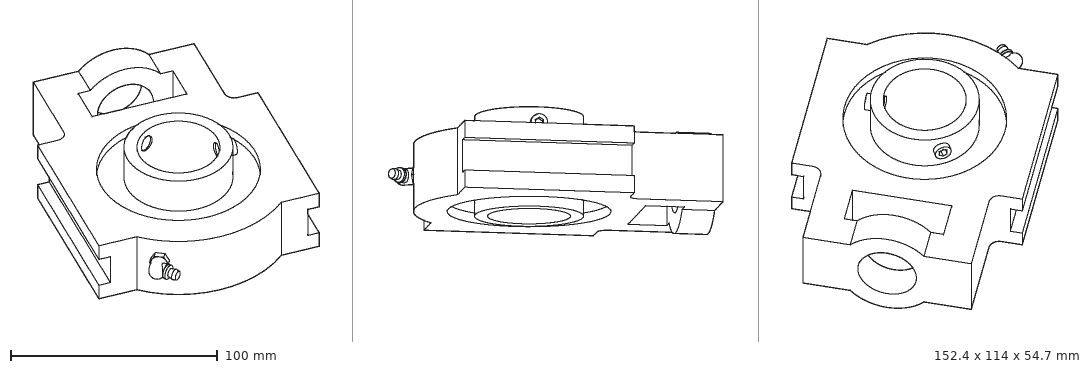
import cadquery as cq
import math


thickness = 32.9
front_x = -87.9
wing_half_length = 41.6
width = 114.0
neck_width = 83.2
neck_fillet = 5.0
nose_radius = 55.9

groove_height = 16.0
groove_depth = 6.0

boss_diameter = 49.0
boss_length = 16.0
screw_bore_diameter = 29.0
window_length = 19.0
window_width = boss_diameter

seat_diameter = 79.2
seat_depth = 4.9
ring_diameter = 52.7
ring_bore_diameter = 40.0
ring_top = 30.2
ring_bottom = -18.7

set_screw_diameter = 8.0
set_screw_recess = 0.6
set_screw_height = 22.2
set_screw_reach = 29.0
set_screw_angles = (90, 210)
socket_flats = 4.0
socket_depth = 3.4

nipple_height = 4.7
nipple_angle = -30
nipple_root = 51.8
nipple_hex_end = 58.8
nipple_elbow_end = 64.7
nipple_diameter = 8.0
tip_start = 62.5
tip_angle = nipple_angle + 67.5
tip_collar_radius = 3.7
tip_base_radius = 3.4
tip_collar_start = 4.9
tip_collar_end = 6.2
tip_neck_radius = 2.3
tip_neck_start = 7.0
tip_neck_end = 8.0
tip_head_radius = 2.7
tip_head_crest = 9.5
tip_end_radius = 2.3
tip_length = 11.3


def corner_diameter(flats):
    """Diameter across the corners of a hexagon with the given width across flats."""
    return flats / math.cos(math.radians(30))


def radial_plane(angle, distance, height):
    """Plane facing outward along a horizontal direction from the bearing axis."""
    direction = (math.cos(math.radians(angle)), math.sin(math.radians(angle)), 0)
    origin = (distance * direction[0], distance * direction[1], height)
    return cq.Plane(origin=origin, xDir=(-direction[1], direction[0], 0), normal=direction)


def make_housing():
    wings = cq.Workplane("XY").box(2 * wing_half_length, width, thickness)
    neck_length = -front_x
    neck = cq.Workplane("XY").box(neck_length, neck_width, thickness).translate((front_x / 2, 0, 0))
    corner_y = neck_width / 2
    body = wings.union(neck)
    for side in (1, -1):
        inner_corner = cq.selectors.NearestToPointSelector((-wing_half_length, side * corner_y, 0))
        body = body.edges("|Z").edges(inner_corner).fillet(neck_fillet)

    nose = cq.Workplane("XY").circle(nose_radius).extrude(thickness / 2, both=True)
    nose_side = cq.Workplane("XY").box(nose_radius, 2 * nose_radius, thickness)
    body = body.union(nose.intersect(nose_side.translate((nose_radius / 2, 0, 0))))

    for side in (1, -1):
        groove = cq.Workplane("XY").box(2 * wing_half_length, 2 * groove_depth, groove_height)
        body = body.cut(groove.translate((0, side * width / 2, 0)))
    return body


def add_screw_boss(body):
    front_face = cq.Workplane("YZ", origin=(front_x, 0, 0))
    boss = front_face.circle(boss_diameter / 2).extrude(boss_length)
    bore = front_face.circle(screw_bore_diameter / 2).extrude(boss_length)
    window_x = front_x + boss_length + window_length / 2
    window = cq.Workplane("XY").box(window_length, window_width, thickness).translate((window_x, 0, 0))
    return body.union(boss).cut(window).cut(bore)


def add_bearing(body):
    for side in (1, -1):
        seat = cq.Workplane("XY", origin=(0, 0, side * thickness / 2)).circle(seat_diameter / 2)
        body = body.cut(seat.extrude(-side * seat_depth))
    ring = cq.Workplane("XY", origin=(0, 0, ring_bottom)).circle(ring_diameter / 2)
    body = body.union(ring.extrude(ring_top - ring_bottom))
    bore = cq.Workplane("XY", origin=(0, 0, ring_bottom)).circle(ring_bore_diameter / 2)
    return body.cut(bore.extrude(ring_top - ring_bottom))


def add_set_screw(body, angle):
    """Fit a set screw whose flat inner end stops just short of the ring bore."""
    inner_end = ring_bore_diameter / 2 + set_screw_recess
    hole = cq.Workplane(radial_plane(angle, 0, set_screw_height)).circle(set_screw_diameter / 2)
    screw = cq.Workplane(radial_plane(angle, inner_end, set_screw_height)).circle(set_screw_diameter / 2)
    screw = screw.extrude(set_screw_reach - inner_end)
    outer_end = cq.Workplane(radial_plane(angle, set_screw_reach, set_screw_height))
    socket = outer_end.transformed(rotate=(0, 0, 30)).polygon(6, corner_diameter(socket_flats))
    return body.cut(hole.extrude(inner_end)).union(screw).cut(socket.extrude(-socket_depth))


def make_nipple():
    root = cq.Workplane(radial_plane(nipple_angle, nipple_root, nipple_height))
    base = root.polygon(6, corner_diameter(nipple_diameter)).extrude(nipple_hex_end - nipple_root)
    elbow = root.circle(nipple_diameter / 2).extrude(nipple_elbow_end - nipple_root)
    elbow_centre = radial_plane(nipple_angle, nipple_elbow_end, nipple_height).origin
    round_end = cq.Workplane("XY").sphere(nipple_diameter / 2).translate(elbow_centre)

    tip_profile = [
        (0, 0),
        (tip_base_radius, 0),
        (tip_base_radius, tip_collar_start),
        (tip_collar_radius, tip_collar_start),
        (tip_collar_radius, tip_collar_end),
        (tip_neck_radius, tip_neck_start),
        (tip_neck_radius, tip_neck_end),
        (tip_head_radius, tip_head_crest),
        (tip_end_radius, tip_length),
        (0, tip_length),
    ]
    tip = cq.Workplane("XZ").polyline(tip_profile).close().revolve(360, (0, 0, 0), (0, 1, 0))
    tip = tip.rotate((0, 0, 0), (0, 1, 0), 90).rotate((0, 0, 0), (0, 0, 1), tip_angle)
    tip = tip.translate(radial_plane(nipple_angle, tip_start, nipple_height).origin)
    return base.union(elbow).union(round_end).union(tip)


result = add_bearing(add_screw_boss(make_housing()))
for screw_angle in set_screw_angles:
    result = add_set_screw(result, screw_angle)
result = result.union(make_nipple())